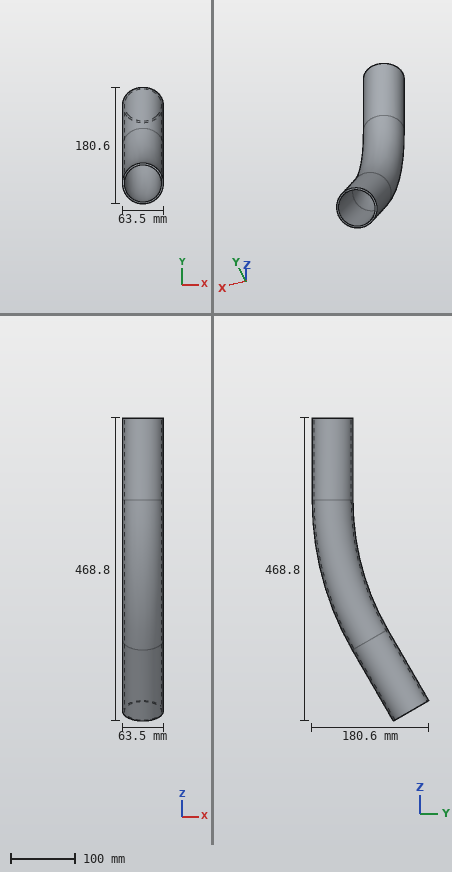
import cadquery as cq
import math

outer_diameter = 63.5
inner_diameter = 57.4
leg_length = 127.0
bend_radius = 431.8
bend_angle = 30.0


def point_on_bend(angle_degrees):
    """Centreline point (Y, Z) after turning by the given angle from vertical towards +Y."""
    angle = math.radians(angle_degrees)
    y = bend_radius * (1 - math.cos(angle))
    z = -leg_length - bend_radius * math.sin(angle)
    return (y, z)


def centreline():
    """Path down the vertical leg, around the bend and along the inclined leg."""
    bend_start = point_on_bend(0)
    bend_middle = point_on_bend(bend_angle / 2)
    bend_end = point_on_bend(bend_angle)
    tilt = math.radians(bend_angle)
    lower_end = (
        bend_end[0] + leg_length * math.sin(tilt),
        bend_end[1] - leg_length * math.cos(tilt),
    )
    return (
        cq.Workplane("YZ")
        .moveTo(0, 0)
        .lineTo(*bend_start)
        .threePointArc(bend_middle, bend_end)
        .lineTo(*lower_end)
    )


def bent_tube():
    """Annular section at the top end swept along the centreline."""
    section = cq.Workplane("XY").circle(outer_diameter / 2).circle(inner_diameter / 2)
    return section.sweep(centreline())


result = bent_tube()